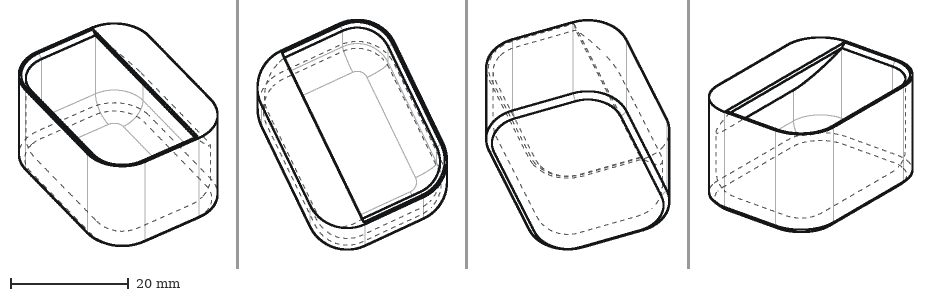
import cadquery as cq

length = 33.25
width = 25.0
height = 19.2
corner_radius = 7.0
base_chamfer = 1.0

wall = 1.2
floor_thickness = 1.0
floor_fillet = 4.0
rim_chamfer = 0.8
rim_taper = 45.0

shelf_depth = corner_radius
shelf_edge_height = rim_chamfer
shelf_slope_drop = 7.5

shelf_front_y = width / 2 - shelf_depth
cavity_back_y = width / 2 - wall


def rounded_block(inset, bottom_z, top_z):
    """Upright block with round corners, inset from the outer side faces."""
    return (
        cq.Workplane("XY")
        .workplane(offset=bottom_z)
        .rect(length - 2 * inset, width - 2 * inset)
        .extrude(top_z - bottom_z)
        .edges("|Z")
        .fillet(corner_radius - inset)
    )


def make_shell():
    """Outer block with its lower edge bevelled."""
    return rounded_block(0, 0, height).faces("<Z").edges().chamfer(base_chamfer)


def make_cavity():
    """Round-bottomed pocket that widens at the rim."""
    pocket = rounded_block(wall, floor_thickness, height).faces("<Z").edges().fillet(floor_fillet)
    rim_inset = wall - rim_chamfer
    rim = (
        cq.Workplane("XY")
        .workplane(offset=height)
        .placeSketch(
            cq.Sketch()
            .rect(length - 2 * rim_inset, width - 2 * rim_inset)
            .vertices()
            .fillet(corner_radius - rim_inset)
        )
        .extrude(-rim_chamfer, taper=rim_taper)
    )
    return pocket.union(rim)


def make_shelf():
    """Space taken by the shelf: an upright front edge, then a slope down to the back wall."""
    edge_z = height - shelf_edge_height
    slope_end_z = edge_z - shelf_slope_drop
    return (
        cq.Workplane("YZ")
        .moveTo(shelf_front_y, height)
        .lineTo(shelf_front_y, edge_z)
        .lineTo(cavity_back_y, slope_end_z)
        .lineTo(width / 2, slope_end_z)
        .lineTo(width / 2, height)
        .close()
        .extrude(length / 2, both=True)
    )


result = make_shell().cut(make_cavity().cut(make_shelf()))